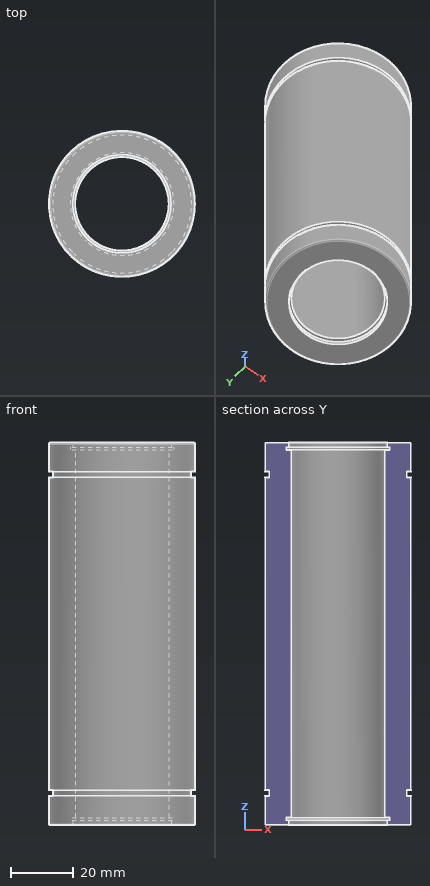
import cadquery as cq

length = 123.0
outer_diameter = 47.0
bore_diameter = 30.0
edge_radius = 0.5

groove_diameter = 44.5
groove_width = 1.85
groove_span = 104.2

mouth_diameter = 31.6
mouth_depth = 1.6
pocket_diameter = 33.2
pocket_depth = 0.8


def disc(diameter, thickness, bottom_z):
    """Solid cylinder on the Z axis standing on bottom_z."""
    return cq.Workplane("XY").workplane(offset=bottom_z).circle(diameter / 2).extrude(thickness)


def make_sleeve():
    """Outer cylinder with rounded ends and the through bore."""
    body = disc(outer_diameter, length, -length / 2).edges("%CIRCLE").fillet(edge_radius)
    return body.cut(disc(bore_diameter, length, -length / 2))


def make_ring_groove():
    """Annular cutter for the retaining ring groove near the top end."""
    bottom_z = groove_span / 2 - groove_width
    blank = disc(outer_diameter, groove_width, bottom_z)
    return blank.cut(disc(groove_diameter, groove_width, bottom_z))


def make_end_recess():
    """Cutter for the mouth and the undercut pocket in the top end."""
    mouth = disc(mouth_diameter, mouth_depth, length / 2 - mouth_depth)
    pocket = disc(pocket_diameter, pocket_depth, length / 2 - mouth_depth - pocket_depth)
    return mouth.union(pocket)


result = make_sleeve()
for cutter in (make_ring_groove(), make_end_recess()):
    result = result.cut(cutter).cut(cutter.mirror("XY"))